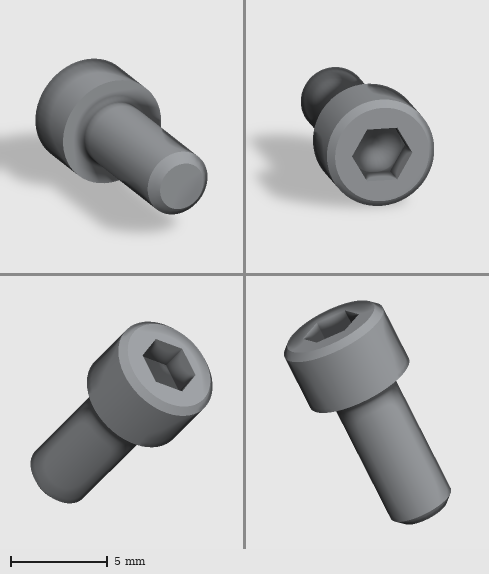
import cadquery as cq
import math

total_length = 11.44
head_diameter = 5.74
head_length = 3.5
head_chamfer = 0.35
shank_diameter = 3.5
tip_chamfer = 0.48
neck_fillet = 0.26

socket_across_flats = 2.79
socket_depth = 1.62
socket_turn = 30.0
socket_cone_angle = 120.0

head_radius = head_diameter / 2
shank_radius = shank_diameter / 2
socket_radius = socket_across_flats / 2


def make_body():
    """Revolve the half profile of head and shank about the X axis."""
    fillet_reach = neck_fillet * (1 - math.sqrt(0.5))
    return (
        cq.Workplane("XY")
        .lineTo(0, head_radius - head_chamfer)
        .lineTo(head_chamfer, head_radius)
        .lineTo(head_length, head_radius)
        .lineTo(head_length, shank_radius + neck_fillet)
        .threePointArc(
            (head_length + fillet_reach, shank_radius + fillet_reach),
            (head_length + neck_fillet, shank_radius),
        )
        .lineTo(total_length - tip_chamfer, shank_radius)
        .lineTo(total_length, shank_radius - tip_chamfer)
        .lineTo(total_length, 0)
        .close()
        .revolve(360, (0, 0, 0), (1, 0, 0))
    )


def make_socket():
    """Hexagonal prism with corners on the Y axis, ending in a cone."""
    prism = (
        cq.Workplane("YZ")
        .polygon(6, socket_across_flats, circumscribed=True)
        .extrude(socket_depth)
        .rotate((0, 0, 0), (1, 0, 0), socket_turn)
    )
    cone_height = socket_radius / math.tan(math.radians(socket_cone_angle / 2))
    cone = cq.Workplane("XY").add(
        cq.Solid.makeCone(
            socket_radius, 0, cone_height,
            cq.Vector(socket_depth, 0, 0), cq.Vector(1, 0, 0),
        )
    )
    return prism.union(cone)


result = make_body().cut(make_socket())